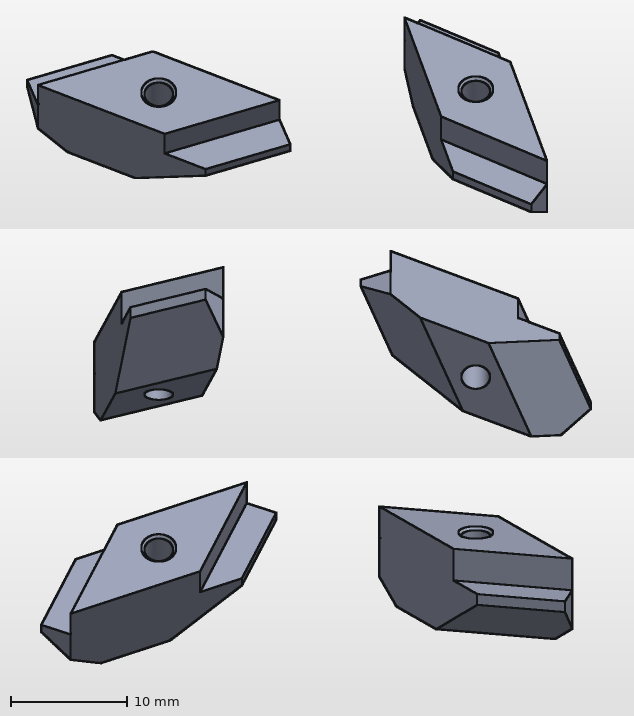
import cadquery as cq

width = 14.0
length = 19.0
height = 8.3

neck_width = 8.51
neck_height = 2.9
flange_edge_height = 0.99
bottom_width = 4.56

hole_diameter = 2.47
entry_diameter = 3.0
entry_depth = (entry_diameter - hole_diameter) / 2

half_width = width / 2
half_length = length / 2
half_neck = neck_width / 2
half_bottom = bottom_width / 2
flange_top = height - neck_height
flank_top = flange_top - flange_edge_height


def make_profile_bar():
    """T-shaped section in XZ, extruded along the full Y length."""
    right_half = [
        (half_bottom, 0),
        (half_width, flank_top),
        (half_width, flange_top),
        (half_neck, flange_top),
        (half_neck, height),
    ]
    left_half = [(-x, z) for x, z in reversed(right_half)]
    section = cq.Workplane("XZ").polyline(right_half + left_half).close()
    return section.extrude(half_length, both=True)


def make_plan_prism():
    """Plan outline with two 45 degree edges that start below the neck sides."""
    diagonal_run = half_width + half_neck
    edge_end = half_length - diagonal_run
    lower_half = [
        (-half_width, edge_end),
        (-half_width, -half_length),
        (-half_neck, -half_length),
    ]
    upper_half = [(-x, -y) for x, y in lower_half]
    return cq.Workplane("XY").polyline(lower_half + upper_half).close().extrude(height)


body = make_profile_bar().intersect(make_plan_prism())

result = (
    body.faces(">Z")
    .workplane(origin=(0, 0, height))
    .hole(hole_diameter)
    .faces(">Z")
    .edges("%CIRCLE")
    .chamfer(entry_depth)
)